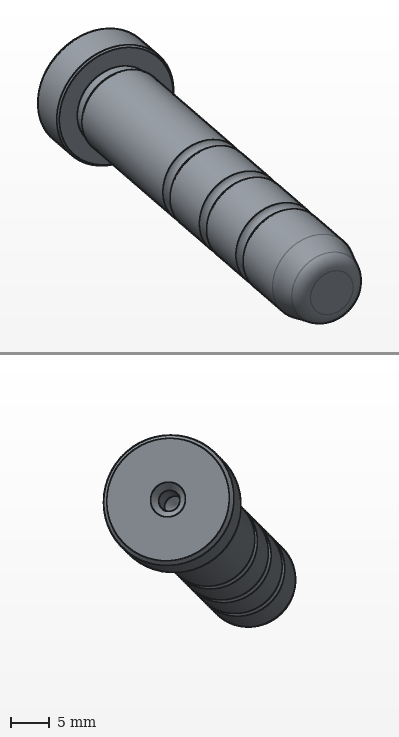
import cadquery as cq
import math

length = 65.0
head_radius = 8.5
head_length = 6.0
head_front_chamfer = 0.5
head_rear_chamfer = 0.25
shank_radius = 6.0

neck_radius = 5.65
neck_end = 7.55

groove_count = 3
groove_start = 30.0
groove_pitch = 10.0
groove_width = 1.95
groove_depth = 0.6

taper_start = 60.0
taper_angle = math.radians(15)
tip_round = 2.0

hole_mouth_radius = 2.3
hole_radius = 1.35
countersink_angle = math.radians(45)
hole_depth = 5.2
drill_point_angle = math.radians(60)


def make_body():
    """Revolve the head, neck, shank and rounded tip about X."""
    arc_x = length - tip_round
    tangent_x = arc_x + tip_round * math.sin(taper_angle)
    tangent_r = shank_radius - (tangent_x - taper_start) * math.tan(taper_angle)
    arc_r = tangent_r - tip_round * math.cos(taper_angle)
    middle_angle = (math.pi / 2 - taper_angle) / 2
    arc_middle = (
        arc_x + tip_round * math.cos(middle_angle),
        arc_r + tip_round * math.sin(middle_angle),
    )
    profile = (
        cq.Workplane("XY")
        .lineTo(0, head_radius - head_front_chamfer)
        .lineTo(head_front_chamfer, head_radius)
        .lineTo(head_length - head_rear_chamfer, head_radius)
        .lineTo(head_length, head_radius - head_rear_chamfer)
        .lineTo(head_length, neck_radius)
        .lineTo(neck_end, neck_radius)
        .lineTo(neck_end + shank_radius - neck_radius, shank_radius)
        .lineTo(taper_start, shank_radius)
        .lineTo(tangent_x, tangent_r)
        .threePointArc(arc_middle, (length, arc_r))
        .lineTo(length, 0)
        .close()
    )
    return revolve_about_x(profile)


def revolve_about_x(profile):
    return profile.revolve(360, (0, 0, 0), (1, 0, 0))


def make_groove(start):
    """Ring of material removed by one oil groove."""
    floor_radius = shank_radius - groove_depth
    profile = (
        cq.Workplane("XY")
        .moveTo(start, shank_radius)
        .threePointArc((start + groove_width / 2, floor_radius), (start + groove_width, shank_radius))
        .close()
    )
    return revolve_about_x(profile)


def make_centre_hole():
    """Countersunk blind hole with a conical drill point."""
    countersink_depth = (hole_mouth_radius - hole_radius) / math.tan(countersink_angle)
    point_length = hole_radius / math.tan(drill_point_angle)
    profile = (
        cq.Workplane("XY")
        .lineTo(0, hole_mouth_radius)
        .lineTo(countersink_depth, hole_radius)
        .lineTo(hole_depth, hole_radius)
        .lineTo(hole_depth + point_length, 0)
        .close()
    )
    return revolve_about_x(profile)


result = make_body().cut(make_centre_hole())
for index in range(groove_count):
    result = result.cut(make_groove(groove_start + index * groove_pitch))